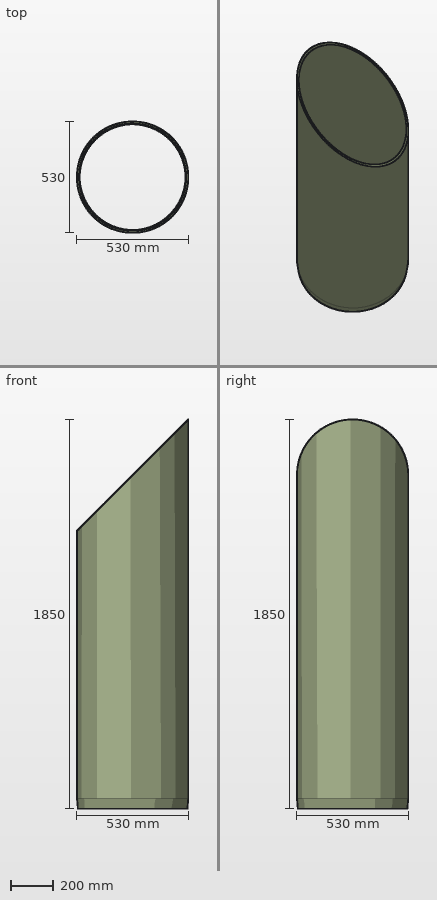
import cadquery as cq
import math

outer_diameter = 530.0
wall = 10.0
total_height = 1850.0

taper_height = 50.0
taper_angle = 5.0
taper_radial_step = taper_height * math.tan(math.radians(taper_angle))

outer_radius = outer_diameter / 2
inner_radius = outer_radius - wall
bottom_outer_radius = outer_radius - taper_radial_step
bottom_inner_radius = inner_radius - taper_radial_step

mitre_low_height = total_height - outer_diameter


def tube():
    """Revolve the wall section, taper included, about Z."""
    section = [
        (bottom_inner_radius, 0),
        (bottom_outer_radius, 0),
        (outer_radius, taper_height),
        (outer_radius, total_height),
        (inner_radius, total_height),
        (inner_radius, taper_height),
    ]
    return cq.Workplane("XZ").polyline(section).close().revolve(360, (0, 0), (0, 1))


def mitre_waste():
    """Triangular prism above the sloping cut, which is lowest at -X and highest at +X."""
    margin = wall
    reach = outer_radius + margin
    triangle = [
        (-reach, mitre_low_height - margin),
        (reach, total_height + margin),
        (-reach, total_height + margin),
    ]
    return cq.Workplane("XZ").polyline(triangle).close().extrude(reach, both=True)


result = tube().cut(mitre_waste())